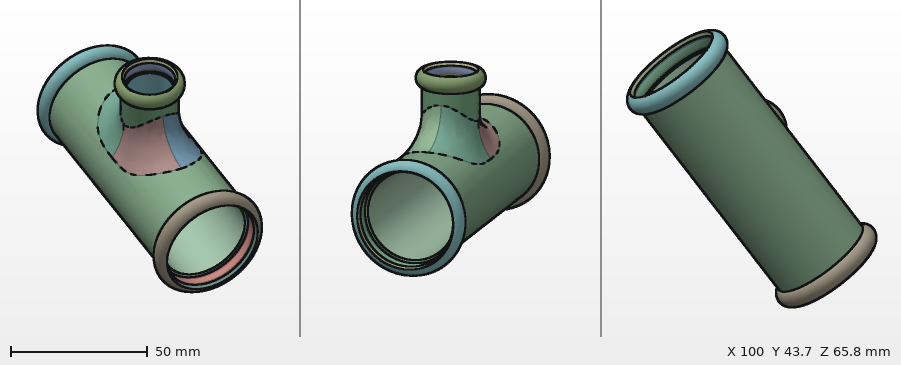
import cadquery as cq
import math

run_length = 100.0
run_radius = 38.4 / 2
run_bore_radius = 33.7 / 2
run_socket_radius = 35.8 / 2
run_seal_radius = 35.4 / 2
run_mouth_radius = 37.3 / 2
run_bead_radius = 43.7 / 2
run_bead_width = 7.4

branch_radius = 21.3 / 2
branch_bore_radius = 17.4 / 2
branch_socket_radius = 18.7 / 2
branch_seal_radius = 18.3 / 2
branch_mouth_radius = 20.3 / 2
branch_bead_radius = 25.7 / 2
branch_bead_width = 6.5

total_height = 65.8
branch_top = total_height - run_bead_radius

run_depths = (1.6, 2.4, 5.6, 6.4, 6.8)
branch_depths = (1.3, 1.8, 4.5, 5.3, 5.6)

flare_half_length = 25.4
flare_half_width = 15.5
flare_top_end = 33.1
flare_top_side = 25.5
foot_fullness = 0.1
flare_steps = 12
flare_overlap = 8.0


def bead(mouth, outer_radius, width):
    """Solid pipe end around +Z with a rolled rim, its end face at Z = 0."""
    return (
        cq.Workplane("XZ")
        .lineTo(mouth, 0)
        .threePointArc((outer_radius, -width / 2), (mouth, -width))
        .lineTo(0, -width)
        .close()
        .revolve(360, (0, 0), (0, 1))
    )


def socket(mouth, socket_wall, seal, bore, depths):
    """Void of a pipe end opening at Z = 0: lead-in cone, seal ridge and pipe stop."""
    lead_end, seal_start, seal_end, stop_start, stop_end = depths
    return (
        cq.Workplane("XZ")
        .moveTo(0, 0)
        .lineTo(mouth, 0)
        .lineTo(socket_wall, -lead_end)
        .lineTo(socket_wall, -seal_start)
        .threePointArc((seal, -(seal_start + seal_end) / 2), (socket_wall, -seal_end))
        .lineTo(socket_wall, -stop_start)
        .lineTo(bore, -stop_end)
        .lineTo(0, -stop_end)
        .close()
        .revolve(360, (0, 0), (0, 1))
    )


def at_run_end(shape, side):
    """Move an end feature from the origin to the -X or +X end of the run."""
    return shape.rotate((0, 0, 0), (0, 1, 0), side * 90).translate((side * run_length / 2, 0, 0))


def flare_curve(angle):
    """Points of the blend from the neck to the run, for one direction around the neck."""
    across = math.sin(angle)
    along = math.cos(angle)
    neck_x = branch_radius * along
    neck_y = branch_radius * across
    neck_z = flare_top_end + (flare_top_side - flare_top_end) * across**2
    foot_x = flare_half_length * along
    foot_y = flare_half_width * across * (1 + foot_fullness * math.sin(2 * angle) ** 2)
    foot_z = math.sqrt(run_radius**2 - foot_y**2)
    corner_z = foot_z + (foot_y - neck_y) * foot_y / foot_z
    neck = cq.Vector(neck_x, neck_y, neck_z)
    corner = cq.Vector(neck_x, neck_y, corner_z)
    foot = cq.Vector(foot_x, foot_y, foot_z)
    to_neck = neck - corner
    to_foot = foot - corner
    corner_weight = math.cos((math.pi - to_neck.getAngle(to_foot)) / 2)
    points = []
    for step in range(flare_steps + 1):
        t = step / flare_steps
        neck_share = (1 - t) ** 2
        corner_share = 2 * t * (1 - t) * corner_weight
        foot_share = t**2
        weighted = neck * neck_share + corner * corner_share + foot * foot_share
        points.append(weighted / (neck_share + corner_share + foot_share))
    return points


def flare_quarter():
    """Wedge behind one quarter of the blend, reaching down and inwards into the body."""
    grid = [flare_curve(math.pi / 2 * step / flare_steps) for step in range(flare_steps + 1)]
    patch = cq.Face.makeSplineApprox(grid, tol=0.0005, minDeg=3, maxDeg=6)
    inward = cq.Vector(-flare_overlap, -flare_overlap, -flare_overlap)
    wedge = cq.Solid.extrudeLinear(patch, inward)
    quarter = cq.Workplane("XY").box(run_length, run_length, run_length, centered=False)
    return cq.Workplane(obj=wedge).intersect(quarter)


body = cq.Workplane("YZ").circle(run_radius).extrude(run_length / 2 - run_bead_width / 2, both=True)
neck_height = branch_top - branch_bead_width / 2
body = body.union(cq.Workplane("XY").circle(branch_radius).extrude(neck_height))

quarter = flare_quarter()
half = quarter.union(quarter.mirror("YZ"))
body = body.union(half).union(half.mirror("XZ"))

run_bead = bead(run_mouth_radius, run_bead_radius, run_bead_width)
for side in (-1, 1):
    body = body.union(at_run_end(run_bead, side))
branch_bead = bead(branch_mouth_radius, branch_bead_radius, branch_bead_width)
body = body.union(branch_bead.translate((0, 0, branch_top)))

body = body.cut(cq.Workplane("YZ").circle(run_bore_radius).extrude(run_length / 2, both=True))
body = body.cut(cq.Workplane("XY").circle(branch_bore_radius).extrude(branch_top))

run_socket = socket(run_mouth_radius, run_socket_radius, run_seal_radius, run_bore_radius, run_depths)
for side in (-1, 1):
    body = body.cut(at_run_end(run_socket, side))
branch_socket = socket(
    branch_mouth_radius, branch_socket_radius, branch_seal_radius, branch_bore_radius, branch_depths
)
result = body.cut(branch_socket.translate((0, 0, branch_top)))